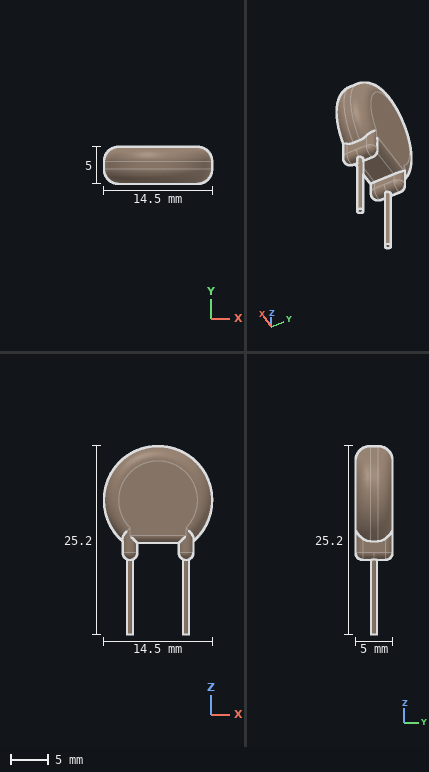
import cadquery as cq

disc_diameter = 14.5
thickness = 5.0
rim_fillet = 2.0

bridge_bottom = -5.75
bridge_fillet = 1.0

lead_pitch = 7.5
collar_width = 2.0
collar_bottom = -8.0

lead_diameter = 0.83
overall_height = 25.22
lead_bottom = disc_diameter / 2 - overall_height


def make_disc():
    """Round body with a large fillet on both rims."""
    disc = cq.Workplane("XZ").circle(disc_diameter / 2).extrude(thickness / 2, both=True)
    return disc.edges().fillet(rim_fillet)


def make_lower_clearance():
    """Space between the leads where the disc gives way to the bridge."""
    depth = disc_diameter / 2
    top = bridge_bottom + bridge_fillet
    return (
        cq.Workplane("XY")
        .workplane(offset=top - depth)
        .rect(lead_pitch, thickness)
        .extrude(depth)
    )


def make_bridge():
    """Full-thickness block with rounded lower edges, reaching up into the disc."""
    return (
        cq.Workplane("XY")
        .workplane(offset=bridge_bottom)
        .rect(lead_pitch, thickness)
        .extrude(-bridge_bottom)
        .edges("<Z and |X")
        .fillet(bridge_fillet)
    )


def make_collar(x):
    """Upright slot-shaped collar with a rounded lower end, reaching up into the disc."""
    end_radius = collar_width / 2
    shoulder = collar_bottom + end_radius
    half_straight = thickness / 2 - end_radius
    collar = (
        cq.Workplane("XY", origin=(x, 0, shoulder))
        .slot2D(thickness, collar_width, 90)
        .extrude(-shoulder)
    )
    lower_roll = (
        cq.Workplane("XZ", origin=(x, 0, shoulder))
        .circle(end_radius)
        .extrude(half_straight, both=True)
    )
    collar = collar.union(lower_roll)
    for y in (-half_straight, half_straight):
        collar = collar.union(cq.Workplane("XY", origin=(x, y, shoulder)).sphere(end_radius))
    return collar


def make_lead(x):
    """Straight round wire running up inside the collar."""
    return (
        cq.Workplane("XY", origin=(x, 0, lead_bottom))
        .circle(lead_diameter / 2)
        .extrude(bridge_bottom - lead_bottom)
    )


result = make_disc().cut(make_lower_clearance()).union(make_bridge())
for lead_x in (-lead_pitch / 2, lead_pitch / 2):
    result = result.union(make_collar(lead_x)).union(make_lead(lead_x))